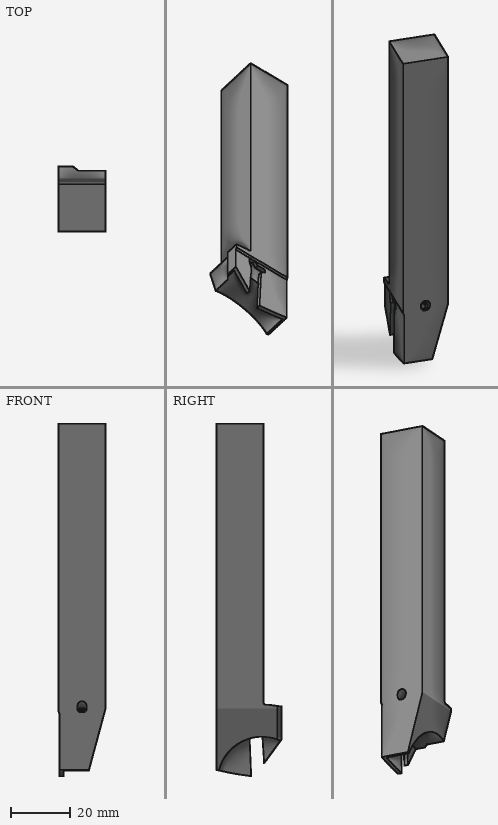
import cadquery as cq
import math

LENGTH = 119.0
WIDTH = 16.0
SHANK_HEIGHT = 16.0
HEAD_HEIGHT = 22.0
HEAD_EDGE_Z = 23.6
HEAD_ROOT_Z = 24.2
HEAD_FILLET = 0.8
HEAD_BREAK_Y = 17.8

SUPPORT_TIP_Y = 11.8
HEEL_Z = 2.1
CLAMP_SHOULDER_Z = 12.5
CLAMP_TIP_Y = 16.3
CLAMP_TIP_Z = 4.6
SEAT_TOP_Z = 19.6

FACE_RELIEF = 0.4
RELIEF_TOP_Z = 21.9
RELIEF_BOTTOM_Z = 21.1
BLADE_BACK_X = 1.8

CLEARANCE_RADIUS = 15.1
CLEARANCE_Y = 15.5
CLEARANCE_Z = -1.8

TAPER_TOP_Z = 22.8
TAPER_END_X = 10.4
TAPER_END_Z = HEEL_Z
STEP_START_X = 4.9
STEP_END_X = 6.7
STEP_HEIGHT = 20.6

SCREW_X = WIDTH / 2
SCREW_Z = 23.5
SCREW_TILT = 32.0
SCREW_DIAMETER = 3.2
SCREW_SINK = 3.3
SCREW_LENGTH = 8.3
SOCKET_DIAMETER = 1.9
SOCKET_DEPTH = 0.6

MARGIN = 1.2


def side_profile():
    """YZ workplane whose normal is +X."""
    return cq.Workplane("YZ")


def make_blank():
    """Shank, head and both jaws as one side outline; the insert seat parts the jaws later."""
    return (
        side_profile()
        .moveTo(0, LENGTH)
        .lineTo(SHANK_HEIGHT, LENGTH)
        .lineTo(SHANK_HEIGHT, HEAD_ROOT_Z + HEAD_FILLET)
        .radiusArc((SHANK_HEIGHT + HEAD_FILLET, HEAD_ROOT_Z), -HEAD_FILLET)
        .lineTo(HEAD_BREAK_Y, HEAD_ROOT_Z)
        .lineTo(HEAD_HEIGHT, HEAD_EDGE_Z)
        .lineTo(HEAD_HEIGHT, CLAMP_SHOULDER_Z)
        .lineTo(CLAMP_TIP_Y, CLAMP_TIP_Z)
        .lineTo(SUPPORT_TIP_Y, 0)
        .threePointArc((6.2, 0.8), (0, HEEL_Z))
        .close()
        .extrude(WIDTH)
    )


def insert_seat():
    """Open seat between the jaws, as deep as the blade is thick."""
    return (
        side_profile()
        .moveTo(SUPPORT_TIP_Y, 0)
        .lineTo(11.1, 17.3)
        .lineTo(9.9, 18.1)
        .threePointArc((9.3, 18.9), (10.0, SEAT_TOP_Z))
        .lineTo(12.5, SEAT_TOP_Z)
        .lineTo(13.8, RELIEF_BOTTOM_Z)
        .lineTo(15.7, RELIEF_BOTTOM_Z)
        .threePointArc((16.2, 19.3), (15.4, 17.4))
        .lineTo(15.4, 15.7)
        .lineTo(CLAMP_TIP_Y - 0.2, CLAMP_TIP_Z)
        .lineTo(CLAMP_TIP_Y - 0.2, -MARGIN)
        .lineTo(SUPPORT_TIP_Y, -MARGIN)
        .close()
        .extrude(BLADE_BACK_X)
    )


def round_clearance():
    """Cylinder that leaves only the thin blade around the workpiece."""
    return (
        side_profile()
        .workplane(offset=BLADE_BACK_X)
        .center(CLEARANCE_Y, CLEARANCE_Z)
        .circle(CLEARANCE_RADIUS)
        .extrude(WIDTH)
    )


def face_relief():
    """Shallow step with a sloped shoulder on the -X face."""
    return (
        cq.Workplane("XZ")
        .polyline([
            (0, RELIEF_TOP_Z),
            (FACE_RELIEF, RELIEF_BOTTOM_Z),
            (FACE_RELIEF, -MARGIN),
            (-MARGIN, -MARGIN),
            (-MARGIN, RELIEF_TOP_Z),
        ])
        .close()
        .extrude(-HEAD_HEIGHT)
    )


def side_taper():
    """Wedge cut from the +X side, narrowing the head towards its end."""
    slope = (WIDTH - TAPER_END_X) / (TAPER_TOP_Z - TAPER_END_Z)
    bottom_x = TAPER_END_X - slope * TAPER_END_Z
    return (
        cq.Workplane("XZ")
        .polyline([(WIDTH, TAPER_TOP_Z), (bottom_x, 0), (WIDTH, 0)])
        .close()
        .extrude(-HEAD_HEIGHT)
    )


def head_step():
    """Cut that lowers the top of the head away from the blade."""
    return (
        cq.Workplane("XY")
        .polyline([
            (STEP_START_X, HEAD_HEIGHT),
            (STEP_END_X, STEP_HEIGHT),
            (WIDTH, STEP_HEIGHT),
            (WIDTH, HEAD_HEIGHT),
        ])
        .close()
        .extrude(HEAD_ROOT_Z)
    )


def screw_cylinder(diameter, start, length):
    """Cylinder on the screw axis, starting at a given distance from the front face."""
    tilt = math.radians(SCREW_TILT)
    direction = cq.Vector(0, math.cos(tilt), -math.sin(tilt))
    base = cq.Vector(SCREW_X, 0, SCREW_Z) + direction * start
    return cq.Workplane(cq.Solid.makeCylinder(diameter / 2, length, base, direction))


def make_holder():
    """One-piece holder with blade, insert seat and screw hole."""
    screw_hole = screw_cylinder(SCREW_DIAMETER, -MARGIN, MARGIN + SCREW_SINK + SCREW_LENGTH)
    holder = make_blank()
    for cutter in (insert_seat(), round_clearance(), face_relief(), side_taper(), head_step(), screw_hole):
        holder = holder.cut(cutter)
    return holder


def make_screw():
    """Headless screw filling the inner end of its hole, with a round socket."""
    body = screw_cylinder(SCREW_DIAMETER, SCREW_SINK, SCREW_LENGTH)
    return body.cut(screw_cylinder(SOCKET_DIAMETER, SCREW_SINK, SOCKET_DEPTH))


holder = make_holder()
screw = make_screw()

result = cq.Compound.makeCompound([holder.val(), screw.val()])